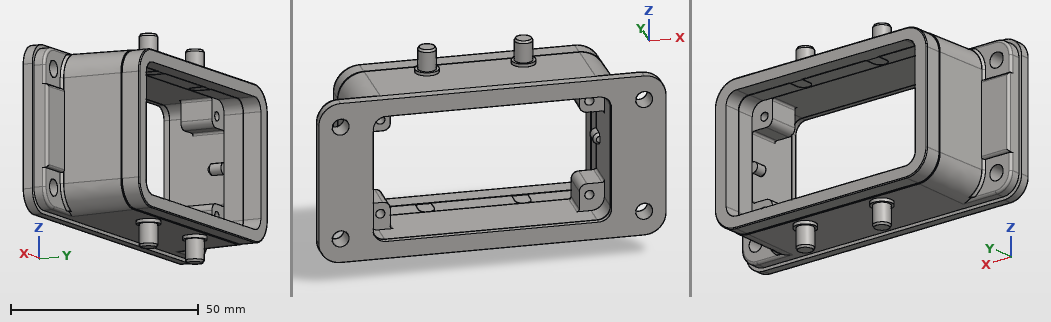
import cadquery as cq
import math

flange_length = 95.0
flange_height = 45.7
flange_thickness = 2.8
flange_corner_radius = 6.0
screw_hole_diameter = 4.6
screw_hole_x = 41.5
screw_hole_z = 16.1

plate_inset = 0.95
plate_length = flange_length - 2 * plate_inset
plate_height = flange_height - 2 * plate_inset
plate_corner_radius = 5.4
plate_top = 6.0
pad_top = 6.8
pad_half_width = 11.4
edge_fillet = 0.8
skirt_size = 0.7

housing_length = 74.1
housing_height = plate_height
housing_corner_radius = 7.6
housing_draft = 0.4
seam_y = 23.8
seam_chamfer = 0.2
draft_angle = math.degrees(math.atan2(housing_draft, seam_y - flange_thickness))
skirt_angle = 45

frame_inset = 0.1
rear_y = 29.2
rear_chamfer = 0.3

opening_length = 65.2
opening_height = 35.9
opening_corner_radius = 3.5
lip_depth = 1.7
ledge_y = 18.05
opening_relief = 0.1

block_front_y = 8.6
block_inner_x = 25.8
block_inner_z = 10.3
block_corner_radius = 2.1
block_root_fillet = 0.7
block_hole_diameter = 2.5
block_hole_x = 28.6
block_hole_z = 13.5

peg_radius = 1.6
peg_front_y = 13.8
peg_chamfer = 0.8

pin_diameter = 5.0
pin_x = 13.2
pin_y = 19.6
pin_span = 57.5
pin_root_z = 19.95
pin_tip_length = 0.7
pin_tip_inset = 0.4
collar_diameter = 6.6
collar_span = 45.0

slot_width = 4.4
slot_depth = 0.1
slot_end_gap = 0.1


def plane_at(y):
    """Workplane at the given depth that extrudes toward +Y; its local axes are X and -Z."""
    return cq.Workplane(cq.Plane(origin=(0, y, 0), xDir=(1, 0, 0), normal=(0, 1, 0)))


def rounded_prism(length, height, radius, y_start, y_end, taper=0):
    """Rectangular prism along Y with rounded corners, narrowing toward +Y by the taper angle."""
    outline = cq.Sketch().rect(length, height).vertices().fillet(radius)
    return plane_at(y_start).placeSketch(outline).extrude(y_end - y_start, taper=taper)


def corner_points(x, z):
    return [(sx * x, sz * z) for sx in (-1, 1) for sz in (-1, 1)]


def make_flange():
    flange = rounded_prism(flange_length, flange_height, flange_corner_radius, 0, flange_thickness)
    plate = rounded_prism(
        plate_length, plate_height, plate_corner_radius, flange_thickness, plate_top, draft_angle
    )
    plate = plate.faces(">Y").edges().fillet(edge_fillet)
    pad = plane_at(flange_thickness).rect(plate_length, 2 * pad_half_width)
    pad = pad.extrude(pad_top - flange_thickness, taper=draft_angle)
    pad = pad.faces(">Y").edges().fillet(edge_fillet)
    return flange.union(plate).union(pad)


def make_housing():
    seam_length = housing_length - 2 * housing_draft
    seam_height = housing_height - 2 * housing_draft
    seam_radius = housing_corner_radius - housing_draft

    walls = rounded_prism(
        housing_length, housing_height, housing_corner_radius, flange_thickness, seam_y, draft_angle
    )
    walls = walls.faces(">Y").chamfer(seam_chamfer)

    frame = rounded_prism(
        seam_length - 2 * frame_inset,
        seam_height - 2 * frame_inset,
        seam_radius - frame_inset,
        seam_y,
        rear_y,
    )
    frame = frame.faces(">Y").chamfer(rear_chamfer).faces("<Y").chamfer(seam_chamfer)
    return walls.union(frame)


def make_skirt():
    """Sloped blend where the housing rises from the ears, kept within the plate."""
    skirt = rounded_prism(
        housing_length + 2 * skirt_size,
        housing_height + 2 * skirt_size,
        housing_corner_radius + skirt_size,
        plate_top,
        plate_top + skirt_size,
        skirt_angle,
    )
    limit_height = housing_height - 2 * edge_fillet
    limit = plane_at(0).rect(plate_length, limit_height).extrude(rear_y)
    return skirt.intersect(limit)


def make_relief(relief, y_start, y_end):
    """Stretch of the opening that is wider than the lip by the relief on every side."""
    return rounded_prism(
        opening_length + 2 * relief,
        opening_height + 2 * relief,
        opening_corner_radius + relief,
        y_start,
        y_end,
    )


def make_block_passage():
    """Cross-shaped stretch of the opening; the material left in its corners forms the screw blocks."""
    depth = ledge_y - block_front_y
    length = opening_length + 2 * opening_relief
    height = opening_height + 2 * opening_relief
    wide_bar = plane_at(block_front_y).rect(length, 2 * block_inner_z).extrude(depth)
    wide_bar = wide_bar.edges("|Y").fillet(block_root_fillet)
    tall_bar = plane_at(block_front_y).rect(2 * block_inner_x, height).extrude(depth)
    tall_bar = tall_bar.edges("|Y").fillet(block_root_fillet)
    inner_corners = cq.selectors.BoxSelector(
        (-block_inner_x - block_corner_radius, 0, -block_inner_z - block_corner_radius),
        (block_inner_x + block_corner_radius, rear_y, block_inner_z + block_corner_radius),
    )
    return wide_bar.union(tall_bar).edges("|Y").edges(inner_corners).fillet(block_corner_radius)


def make_opening():
    """Through opening: narrow lip, cavity, screw block passage, relieved rear and frame."""
    lip = make_relief(0, 0, lip_depth)
    cavity = make_relief(opening_relief, lip_depth, block_front_y)
    rear = make_relief(2 * opening_relief, ledge_y, seam_y)
    frame = make_relief(0, seam_y, rear_y)
    return lip.union(cavity).union(make_block_passage()).union(rear).union(frame)


def make_slots():
    """Round-ended slots under the pins, cut from wall to wall across the rear of the opening."""
    radius = slot_width / 2
    height = opening_height + 2 * (2 * opening_relief + slot_depth)
    center_y = ledge_y + slot_end_gap + radius
    straight_length = seam_y - center_y
    middle_y = center_y + straight_length / 2

    start = cq.Workplane("XY", origin=(0, 0, -height / 2))
    round_ends = start.pushPoints([(-pin_x, center_y), (pin_x, center_y)]).circle(radius).extrude(height)
    straights = start.pushPoints([(-pin_x, middle_y), (pin_x, middle_y)])
    straights = straights.rect(slot_width, straight_length).extrude(height)
    return round_ends.union(straights)


def make_pegs():
    peg_points = [(-opening_length / 2, 0), (opening_length / 2, 0)]
    pegs = plane_at(peg_front_y).pushPoints(peg_points).circle(peg_radius)
    return pegs.extrude(ledge_y - peg_front_y).faces("<Y").chamfer(peg_chamfer)


def make_pin():
    """Locking pin with its collar on the +Z side, centered on X = 0."""
    base = cq.Workplane("XY", origin=(0, pin_y, pin_root_z))
    pin = base.circle(pin_diameter / 2).extrude(pin_span / 2 - pin_root_z)
    pin = pin.faces(">Z").chamfer(pin_tip_length, pin_tip_inset)
    collar = base.circle(collar_diameter / 2).extrude(collar_span / 2 - pin_root_z)
    return pin.union(collar)


def make_holes(diameter, x, z, depth):
    """Four round holes along Y, one in each corner."""
    return plane_at(0).pushPoints(corner_points(x, z)).circle(diameter / 2).extrude(depth)


result = make_flange().union(make_housing()).union(make_skirt())
result = result.cut(make_opening()).cut(make_slots()).union(make_pegs())
for pin_center_x in (-pin_x, pin_x):
    upper_pin = make_pin().translate((pin_center_x, 0, 0))
    result = result.union(upper_pin).union(upper_pin.mirror("XY"))
result = result.cut(make_holes(screw_hole_diameter, screw_hole_x, screw_hole_z, pad_top))
result = result.cut(make_holes(block_hole_diameter, block_hole_x, block_hole_z, rear_y))